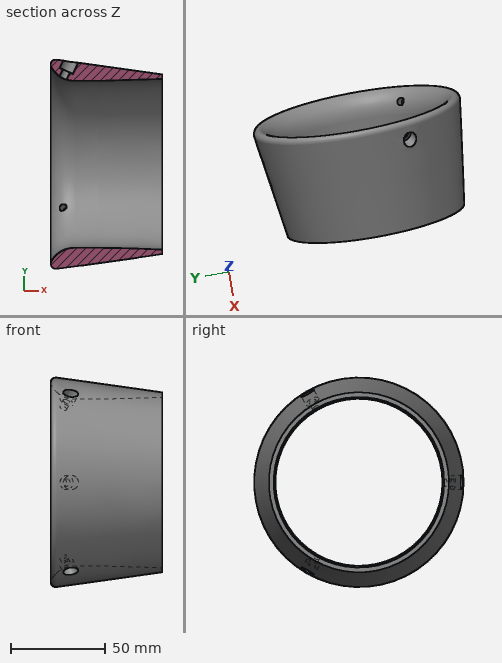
import cadquery as cq
import math

length = 59.27
rim_radius = 111.12 / 2
tail_radius = 47.7

rim_length = 3.175
rim_land = 0.35
mouth_radius = 51.1

throat_radius = 44.2
throat_start = 12.7
throat_end = 25.4
tail_bore_radius = 45.2

hole_count = 3
hole_x = 10.7
hole_tilt = math.radians(25)
hole_diameter = 4.0
counterbore_diameter = 7.6
counterbore_depth = 5.5
cutter_clearance = 5

ring_axis = cq.Vector(1, 0, 0)


def outside_radius(x):
    """Radius of the tapered outside at a given X."""
    taper_slope = (rim_radius - tail_radius) / (length - rim_length)
    return rim_radius - (x - rim_length) * taper_slope


def make_ring():
    """Revolve the wall section about the X axis."""
    rounding = rim_length - rim_land
    rounding_centre = rim_radius - rounding
    mouth_x = rounding - math.sqrt(rounding**2 - (rounding_centre - mouth_radius) ** 2)
    section = (
        cq.Workplane("XY")
        .moveTo(mouth_x, mouth_radius)
        .threePointArc((0, rounding_centre), (rounding, rim_radius))
        .lineTo(rim_length, rim_radius)
        .lineTo(length, tail_radius)
        .lineTo(length, tail_bore_radius)
        .lineTo(throat_end, throat_radius)
        .lineTo(throat_start, throat_radius)
        .tangentArcPoint((mouth_x, mouth_radius), relative=False)
        .close()
    )
    return section.revolve(360, (0, 0, 0), ring_axis.toTuple())


def make_screw_hole():
    """Cutter for the screw hole on the +Y side."""
    entry = cq.Vector(hole_x, outside_radius(hole_x), 0)
    outward = cq.Vector(math.sin(hole_tilt), math.cos(hole_tilt), 0)
    inward = outward * -1
    start = entry + outward * cutter_clearance
    through_length = rim_radius - throat_radius + 2 * cutter_clearance
    through_hole = cq.Solid.makeCylinder(hole_diameter / 2, through_length, start, inward)
    counterbore_length = counterbore_depth + cutter_clearance
    counterbore = cq.Solid.makeCylinder(counterbore_diameter / 2, counterbore_length, start, inward)
    return through_hole.fuse(counterbore)


def cut_screw_holes(ring):
    """Cut the screw holes, evenly spaced around the ring."""
    cutter = make_screw_hole()
    for index in range(hole_count):
        angle = index * 360 / hole_count
        ring = ring.cut(cutter.rotate(cq.Vector(0, 0, 0), ring_axis, angle))
    return ring


result = cut_screw_holes(make_ring())